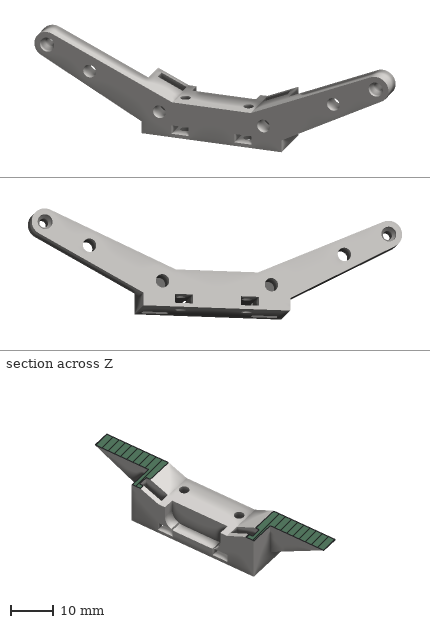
import cadquery as cq
import math

length = 89.8
body_depth = 11.7
total_height = 22.6
arm_thickness = 4.9
base_half_width = 17.8
base_height = 3.05
saddle_half_width = 10.0
saddle_height = 9.0

end_radius = 3.2
end_x = length / 2 - end_radius
end_z = total_height - end_radius
end_hole_diameter = 2.2
end_bore_diameter = 3.6
end_bore_depth = 1.0
end_cone_length = (end_bore_diameter - end_hole_diameter) / 2

pin_diameter = 3.2
arm_hole_x = 30.9
arm_hole_z = 14.1
blind_hole_x = 13.2
blind_hole_z = 6.1
blind_hole_depth = arm_thickness
screw_diameter = 2.5
screw_x = 8.0
screw_y = 3.9

window_inner_x = 5.8
window_outer_x = 10.15
window_floor = 0.9

slot_inner_x = 10.1
slot_outer_x = 16.4
slot_front_y = 7.6
slot_lower_rear_y = 10.0
slot_upper_rear_y = 10.3

recess_half_width = 8.1
recess_depth = 3.0
recess_corner_diameter = 6.2
recess_floor = 2.8


def end_tangent(x, z, side):
    """Point where the line from (x, z) touches the right arm end; side is +1 above, -1 below."""
    distance = math.hypot(end_x - x, end_z - z)
    direction = math.atan2(end_z - z, end_x - x)
    radius_angle = direction + side * (math.pi / 2 + math.asin(end_radius / distance))
    return (
        end_x + end_radius * math.cos(radius_angle),
        end_z + end_radius * math.sin(radius_angle),
    )


def box(x_range, y_range, z_range):
    """Axis-aligned box given by its limits."""
    lows, highs = zip(x_range, y_range, z_range)
    sizes = [high - low for low, high in zip(lows, highs)]
    return cq.Workplane("XY").box(*sizes, centered=False).translate(lows)


def front_holes(x, z, diameter, depth):
    """Mirrored pair of cylinders running back from the front face."""
    centres = [(-x, z), (x, z)]
    return cq.Workplane("XZ").pushPoints(centres).circle(diameter / 2).extrude(-depth)


def mirrored(solid):
    """The solid together with its copy on the other side of X = 0."""
    return solid.union(solid.mirror("YZ"))


def end_holes():
    """Stepped holes in both arm ends: front bore, 45 degree cone, then a narrower through hole."""
    bore_radius = end_bore_diameter / 2
    hole_radius = end_hole_diameter / 2
    cone_end = end_bore_depth + end_cone_length
    half_section = [
        (0, 0),
        (bore_radius, 0),
        (bore_radius, end_bore_depth),
        (hole_radius, cone_end),
        (hole_radius, arm_thickness),
        (0, arm_thickness),
    ]
    hole = cq.Workplane("XY").polyline(half_section).close().revolve(360, (0, 0, 0), (0, 1, 0))
    return mirrored(hole.translate((end_x, 0, end_z)))


def bent_profile():
    """Bar outline with two raised arms, in the XZ plane."""
    upper_x, upper_z = end_tangent(saddle_half_width, saddle_height, 1)
    lower_x, lower_z = end_tangent(base_half_width, base_height, -1)
    tip_angle = math.atan2(end_z - saddle_height, end_x - saddle_half_width)
    tip_x = end_x + end_radius * math.cos(tip_angle)
    tip_z = end_z + end_radius * math.sin(tip_angle)
    return (
        cq.Workplane("XZ")
        .moveTo(-saddle_half_width, saddle_height)
        .lineTo(saddle_half_width, saddle_height)
        .lineTo(upper_x, upper_z)
        .threePointArc((tip_x, tip_z), (lower_x, lower_z))
        .lineTo(base_half_width, base_height)
        .lineTo(base_half_width, 0)
        .lineTo(-base_half_width, 0)
        .lineTo(-base_half_width, base_height)
        .lineTo(-lower_x, lower_z)
        .threePointArc((-tip_x, tip_z), (-upper_x, upper_z))
        .close()
    )


def rear_block():
    """Block behind the arms whose top continues the upper arm faces."""
    upper_x, upper_z = end_tangent(saddle_half_width, saddle_height, 1)
    slope = (upper_z - saddle_height) / (upper_x - saddle_half_width)
    side_height = saddle_height + slope * (base_half_width - saddle_half_width)
    outline = [
        (-base_half_width, 0),
        (base_half_width, 0),
        (base_half_width, side_height),
        (saddle_half_width, saddle_height),
        (-saddle_half_width, saddle_height),
        (-base_half_width, side_height),
    ]
    return cq.Workplane("XZ").polyline(outline).close().extrude(-body_depth)


def rear_slots():
    """Vertical slots with a ledge on the rear wall at the top of the base."""
    x_range = (slot_inner_x, slot_outer_x)
    lower = box(x_range, (slot_front_y, slot_lower_rear_y), (0, total_height))
    upper = box(x_range, (slot_front_y, slot_upper_rear_y), (base_height, total_height))
    return mirrored(lower.union(upper))


def rear_recess():
    """Open-topped recess in the rear face, with its lower corners rounded."""
    x_range = (-recess_half_width, recess_half_width)
    y_range = (body_depth - recess_depth, body_depth)
    recess = box(x_range, y_range, (recess_floor, total_height))
    return recess.edges("|Y and <Z").fillet(recess_corner_diameter / 2)


body = bent_profile().extrude(-arm_thickness).union(rear_block())

windows = mirrored(box((window_inner_x, window_outer_x), (0, body_depth), (window_floor, base_height)))
screw_centres = [(-screw_x, screw_y), (screw_x, screw_y)]
screw_holes = cq.Workplane("XY").pushPoints(screw_centres).circle(screw_diameter / 2).extrude(total_height)

result = (
    body.cut(windows)
    .cut(rear_slots())
    .cut(rear_recess())
    .cut(screw_holes)
    .cut(end_holes())
    .cut(front_holes(arm_hole_x, arm_hole_z, pin_diameter, arm_thickness))
    .cut(front_holes(blind_hole_x, blind_hole_z, pin_diameter, blind_hole_depth))
)